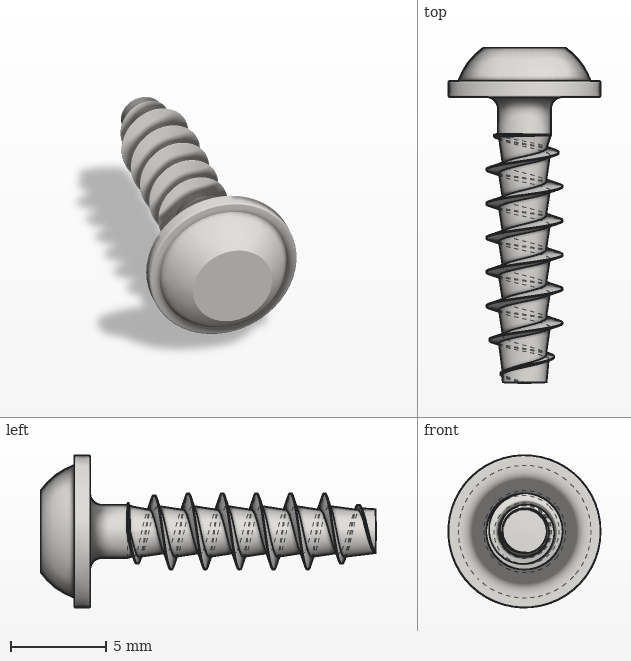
import math

import cadquery as cq


HEAD_HEIGHT = 2.6
WASHER_RADIUS = 4.0
WASHER_THICKNESS = 0.85
WASHER_EDGE_FILLET = 0.1
DOME_SPHERE_RADIUS = 3.7
DOME_TOP_RADIUS = 2.15

SHANK_RADIUS = 1.4
SHANK_END = -1.95
NECK_FILLET = 0.6
SHANK_TAPER_LENGTH = 0.8

SCREW_LENGTH = 15.0
TIP_RADIUS = 1.09
TIP_CONE_HEIGHT = 0.04
TIP_TAPER_START = -14.3
TIP_FACE = -SCREW_LENGTH + TIP_CONE_HEIGHT

PITCH = 1.79
FIRST_CREST_Y = -3.345
MAJOR_RADIUS = 2.0
CREST_HALF_WIDTH = 0.025
ROOT_RADIUS = 1.05
ROOT_HALF_WIDTH = 0.3

CORE_RADIUS = 1.143
WEDGE_TOP_RADIUS = 1.34
WEDGE_LOW_RADIUS = 1.14
WEDGE_GAP = 0.01

RUN_IN_START_TURN = -1.25
RUN_IN_CLEARANCE = 0.02
RUN_IN_START_Y = SHANK_END - RUN_IN_CLEARANCE
RUN_IN_START_RADIUS = 1.4
RUN_IN_BEND_TURN = -0.75
FULL_START_TURN = 0.25

NARROWING_TURN = 4.0
FULL_END_TURN = 5.0
WEDGE_FADE_TURN = 5.5
RUN_OUT_END_TURN = 6.5
RUN_OUT_END_RADIUS = 1.11
WEDGE_END_RADIUS = 1.1
WEDGE_END_LOW = 1.08

SAMPLES_PER_TURN = 24
HALF_ARC = math.sqrt(0.5)


def crest_y(turn):
    """Y of the thread crest on the regular helix."""
    return FIRST_CREST_Y - PITCH * turn


def interpolate(place, start, end, start_value, end_value):
    share = (place - start) / (end - start)
    return start_value + share * (end_value - start_value)


def helix_point(turn, radius, y):
    angle = 2 * math.pi * turn
    return cq.Vector(-radius * math.sin(angle), y, radius * math.cos(angle))


def helix_edge(start_turn, end_turn, start, end):
    """Spiral edge whose (radius, y) runs linearly from start to end."""
    count = math.ceil((end_turn - start_turn) * SAMPLES_PER_TURN)
    points = []
    for i in range(count + 1):
        turn = interpolate(i, 0, count, start_turn, end_turn)
        radius = interpolate(i, 0, count, start[0], end[0])
        y = interpolate(i, 0, count, start[1], end[1])
        points.append(helix_point(turn, radius, y))
    return cq.Edge.makeSpline(points)


def end_cap(turn, section):
    points = [helix_point(turn, radius, y) for radius, y in section]
    return cq.Face.makeFromWires(cq.Wire.makePolygon(points, close=True))


def helical_solid(stations):
    """Solid through (turn, section) stations; each section is a list of (radius, y) corners."""
    faces = [end_cap(*stations[0]), end_cap(*stations[-1])]
    for (turn_a, section_a), (turn_b, section_b) in zip(stations, stations[1:]):
        edges = [helix_edge(turn_a, turn_b, a, b) for a, b in zip(section_a, section_b)]
        for edge, following in zip(edges, edges[1:] + edges[:1]):
            faces.append(cq.Face.makeRuledSurface(edge, following))
    return cq.Solid.makeSolid(cq.Shell.makeShell(faces)).fix()


def crest_radius(turn):
    """Radius of the crest: rising at the shank, constant along the screw, sinking at the tip."""
    if turn < FULL_START_TURN:
        return interpolate(turn, RUN_IN_START_TURN, FULL_START_TURN, RUN_IN_START_RADIUS, MAJOR_RADIUS)
    if turn > FULL_END_TURN:
        last_turn = min(turn, RUN_OUT_END_TURN)
        return interpolate(last_turn, FULL_END_TURN, RUN_OUT_END_TURN, MAJOR_RADIUS, RUN_OUT_END_RADIUS)
    return MAJOR_RADIUS


def half_width(turn, radius):
    """Half the thread width at a radius; the root narrows as the crest gets lower."""
    crest = crest_radius(turn)
    half_root = interpolate(crest, ROOT_RADIUS, MAJOR_RADIUS, CREST_HALF_WIDTH, ROOT_HALF_WIDTH)
    return interpolate(radius, ROOT_RADIUS, crest, half_root, CREST_HALF_WIDTH)


def thread_station(turn, y, wedge_top=WEDGE_TOP_RADIUS, wedge_low=WEDGE_LOW_RADIUS):
    """Thread section with the core wedge that runs from it to the next thread turn."""
    crest = crest_radius(turn)
    half_root = half_width(turn, ROOT_RADIUS)
    wedge_limit = crest_y(turn + 1) + WEDGE_GAP
    section = [
        (ROOT_RADIUS, y + half_root),
        (crest, y + CREST_HALF_WIDTH),
        (crest, y - CREST_HALF_WIDTH),
        (wedge_top, y - half_width(turn, wedge_top)),
        (wedge_low, wedge_limit + half_width(turn + 1, wedge_low)),
        (ROOT_RADIUS, wedge_limit + half_width(turn + 1, ROOT_RADIUS)),
    ]
    return turn, section


def make_thread():
    stations = [thread_station(RUN_IN_START_TURN, RUN_IN_START_Y)]
    for turn in (RUN_IN_BEND_TURN, FULL_START_TURN, NARROWING_TURN, FULL_END_TURN, WEDGE_FADE_TURN):
        stations.append(thread_station(turn, crest_y(turn)))
    stations.append(
        thread_station(RUN_OUT_END_TURN, crest_y(RUN_OUT_END_TURN), WEDGE_END_RADIUS, WEDGE_END_LOW)
    )
    return helical_solid(stations)


def revolve_profile(profile):
    return profile.close().revolve(360, (0, 0, 0), (0, 1, 0)).val()


def make_head():
    dome_center_y = HEAD_HEIGHT - math.sqrt(DOME_SPHERE_RADIUS**2 - DOME_TOP_RADIUS**2)
    dome_base_radius = math.sqrt(DOME_SPHERE_RADIUS**2 - (WASHER_THICKNESS - dome_center_y) ** 2)
    mid_y = (HEAD_HEIGHT + WASHER_THICKNESS) / 2
    mid_radius = math.sqrt(DOME_SPHERE_RADIUS**2 - (mid_y - dome_center_y) ** 2)
    rim_radius = WASHER_RADIUS - WASHER_EDGE_FILLET
    edge_sagitta = WASHER_EDGE_FILLET * (1 - HALF_ARC)
    return revolve_profile(
        cq.Workplane("XY")
        .lineTo(rim_radius, 0)
        .threePointArc(
            (WASHER_RADIUS - edge_sagitta, edge_sagitta),
            (WASHER_RADIUS, WASHER_EDGE_FILLET),
        )
        .lineTo(WASHER_RADIUS, WASHER_THICKNESS - WASHER_EDGE_FILLET)
        .threePointArc(
            (WASHER_RADIUS - edge_sagitta, WASHER_THICKNESS - edge_sagitta),
            (rim_radius, WASHER_THICKNESS),
        )
        .lineTo(dome_base_radius, WASHER_THICKNESS)
        .threePointArc((mid_radius, mid_y), (DOME_TOP_RADIUS, HEAD_HEIGHT))
        .lineTo(0, HEAD_HEIGHT)
    )


def make_shank():
    """Neck fillet, plain shank, cone tapering down to the core, core cylinder."""
    neck_center = (SHANK_RADIUS + NECK_FILLET, -NECK_FILLET)
    neck_mid = (
        neck_center[0] - NECK_FILLET * HALF_ARC,
        neck_center[1] + NECK_FILLET * HALF_ARC,
    )
    return revolve_profile(
        cq.Workplane("XY")
        .lineTo(neck_center[0], 0)
        .threePointArc(neck_mid, (SHANK_RADIUS, neck_center[1]))
        .lineTo(SHANK_RADIUS, SHANK_END)
        .lineTo(CORE_RADIUS, SHANK_END - SHANK_TAPER_LENGTH)
        .lineTo(CORE_RADIUS, TIP_TAPER_START)
        .lineTo(TIP_RADIUS, TIP_FACE)
        .lineTo(0, -SCREW_LENGTH)
    )


def make_envelope():
    """Space the screw may fill: a wide cylinder closed at the tip by a flat cone."""
    return revolve_profile(
        cq.Workplane("XY")
        .moveTo(0, HEAD_HEIGHT)
        .lineTo(WASHER_RADIUS, HEAD_HEIGHT)
        .lineTo(WASHER_RADIUS, TIP_FACE)
        .lineTo(TIP_RADIUS, TIP_FACE)
        .lineTo(0, -SCREW_LENGTH)
    )


screw = make_shank().fuse(make_thread())
screw = screw.intersect(make_envelope())
result = cq.Workplane(make_head().fuse(screw).Solids()[0])